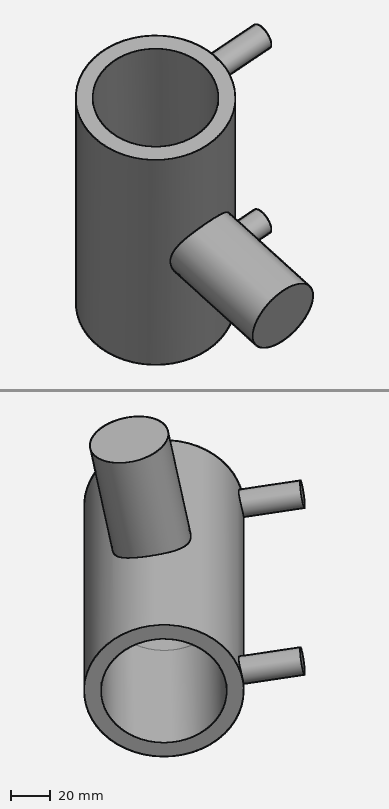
import cadquery as cq

tube_height = 164.0
tube_diameter = 80.0
bore_diameter = 63.0

branch_diameter = 40.0
branch_reach = 97.9

pin_diameter = 14.1
pin_reach = 70.5
pin_end_distance = 8.0


def make_branch():
    return cq.Workplane("YZ").circle(branch_diameter / 2).extrude(branch_reach)


def make_pin(height):
    return cq.Workplane("XZ").center(0, height).circle(pin_diameter / 2).extrude(-pin_reach)


def make_bore():
    return cq.Workplane("XY").circle(bore_diameter / 2).extrude(tube_height / 2, both=True)


body = cq.Workplane("XY").circle(tube_diameter / 2).extrude(tube_height / 2, both=True)
body = body.union(make_branch())

pin_height = tube_height / 2 - pin_end_distance
for height in (-pin_height, pin_height):
    body = body.union(make_pin(height))

result = body.cut(make_bore())